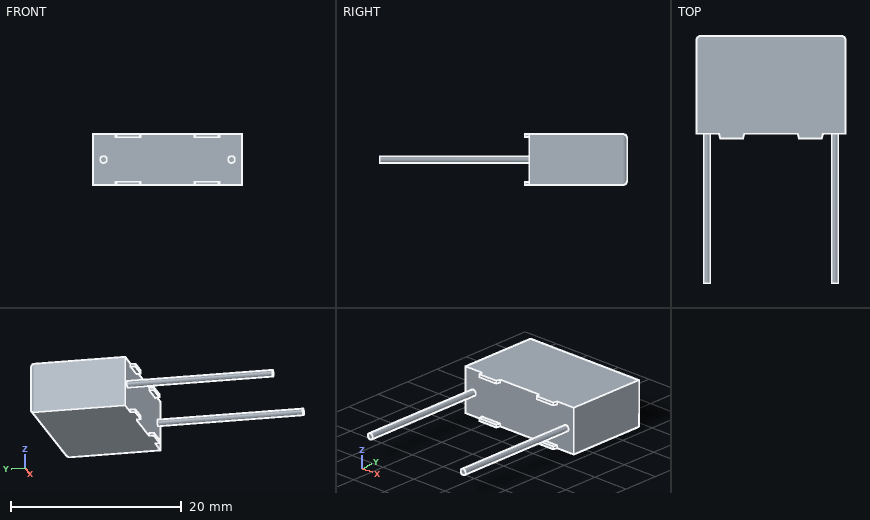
import cadquery as cq

CASE_WIDTH = 17.5
CASE_DEPTH = 11.48
CASE_HEIGHT = 6.0
BACK_FILLET = 0.55

TAB_WIDTH = 3.0
TAB_LENGTH = 0.55
TAB_THICKNESS = 0.38
TAB_SPACING = 9.22
TAB_TAPER = 0.15

TOTAL_DEPTH = 29.0
LEAD_DIAMETER = 0.8
LEAD_PITCH = 15.0
LEAD_LENGTH = TOTAL_DEPTH - CASE_DEPTH


def make_tab(x_center, z_bottom):
    """Stand-off tab that narrows towards its free end at -Y."""
    half_root = TAB_WIDTH / 2
    half_tip = half_root - TAB_TAPER
    return (
        cq.Workplane("XY", origin=(x_center, 0, z_bottom))
        .moveTo(-half_root, 0)
        .lineTo(-half_tip, -TAB_LENGTH)
        .lineTo(half_tip, -TAB_LENGTH)
        .lineTo(half_root, 0)
        .close()
        .extrude(TAB_THICKNESS)
    )


def make_case():
    """Block with its lead face at Y = 0, a rounded back and four tabs."""
    case = (
        cq.Workplane("XY")
        .box(CASE_WIDTH, CASE_DEPTH, CASE_HEIGHT, centered=(True, False, True))
        .faces(">Y")
        .edges()
        .fillet(BACK_FILLET)
    )
    for x_center in (-TAB_SPACING / 2, TAB_SPACING / 2):
        for z_bottom in (-CASE_HEIGHT / 2, CASE_HEIGHT / 2 - TAB_THICKNESS):
            case = case.union(make_tab(x_center, z_bottom))
    return case


def make_lead(x_center):
    """Round wire that starts on the lead face and runs towards -Y."""
    return (
        cq.Workplane("XZ", origin=(x_center, 0, 0))
        .circle(LEAD_DIAMETER / 2)
        .extrude(LEAD_LENGTH)
    )


case = make_case()
leads = [make_lead(x_center) for x_center in (-LEAD_PITCH / 2, LEAD_PITCH / 2)]

result = cq.Compound.makeCompound([case.val(), *[lead.val() for lead in leads]])